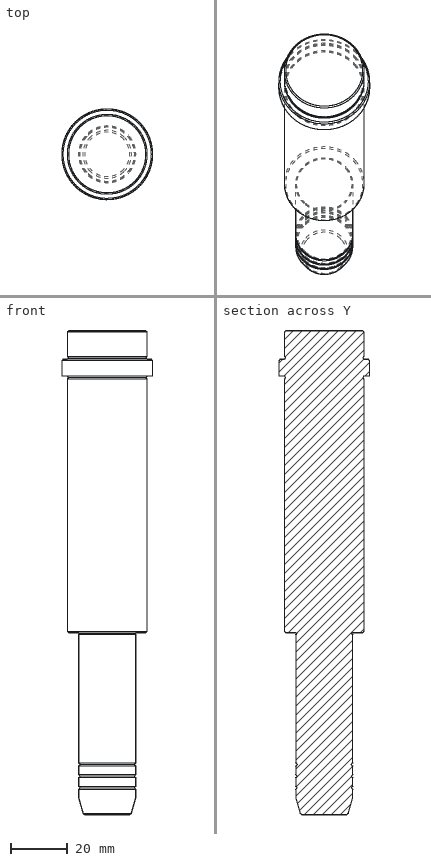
import cadquery as cq

total_length = 170.0
collar_diameter = 32.0
body_diameter = 28.0
shank_diameter = 20.0
head_length = 10.0
collar_length = 6.0
body_length = 90.1
tip_length = 6.0
tip_diameter = 16.7
edge_chamfer = 0.5
tip_chamfer = 0.5

relief_width = 1.0
relief_depth = 0.3
shank_relief_width = 0.5
ring_groove_width = 1.0
ring_groove_depth = 0.5
ring_groove_count = 3
ring_groove_pitch = 4.0
lowest_groove_height = 9.5

collar_top = total_length - head_length
collar_bottom = collar_top - collar_length
body_bottom = collar_bottom - body_length


def cylinder(diameter, bottom, top):
    """Solid cylinder on the part axis between two heights."""
    return cq.Workplane("XY").workplane(offset=bottom).circle(diameter / 2).extrude(top - bottom)


def groove_cutter(diameter, bottom, width, depth):
    """Ring of triangular section that cuts a V groove into a cylinder."""
    radius = diameter / 2
    section = [(radius, bottom), (radius - depth, bottom + width / 2), (radius, bottom + width)]
    return cq.Workplane("XZ").polyline(section).close().revolve(360, (0, 0, 0), (0, 1, 0))


def make_tip():
    """Tapered lead-in with a chamfered end."""
    tip = (
        cq.Workplane("XY")
        .circle(tip_diameter / 2)
        .workplane(offset=tip_length)
        .circle(shank_diameter / 2)
        .loft()
    )
    return tip.faces("<Z").chamfer(tip_chamfer)


head = cylinder(body_diameter, collar_top, total_length).faces(">Z").chamfer(edge_chamfer)
collar = cylinder(collar_diameter, collar_bottom, collar_top).faces(">Z").chamfer(edge_chamfer)
body = cylinder(body_diameter, body_bottom, collar_bottom).faces("<Z").chamfer(edge_chamfer)
shank = cylinder(shank_diameter, tip_length, body_bottom)
result = make_tip().union(shank).union(body).union(collar).union(head)

for diameter, bottom, width in (
    (body_diameter, collar_top, relief_width),
    (body_diameter, collar_bottom - relief_width, relief_width),
    (shank_diameter, body_bottom - shank_relief_width, shank_relief_width),
):
    result = result.cut(groove_cutter(diameter, bottom, width, relief_depth))

for index in range(ring_groove_count):
    groove_bottom = lowest_groove_height + index * ring_groove_pitch - ring_groove_width / 2
    result = result.cut(
        groove_cutter(shank_diameter, groove_bottom, ring_groove_width, ring_groove_depth)
    )